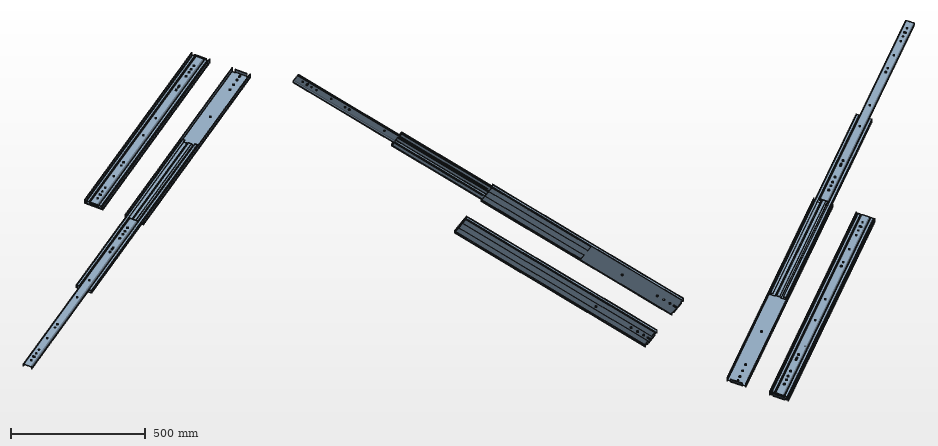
import cadquery as cq

OVERALL_WIDTH = 245.0
SLIDE_WIDTH = 76.0
SLIDE_OFFSET = (OVERALL_WIDTH - SLIDE_WIDTH) / 2
SHEET = 2.0

OUTER_LENGTH = 864.0
OUTER_HEIGHT = 19.0
TAB_WIDTH = 48.0
TAB_HEIGHT = 15.0
RELIEF_DEPTH = 3.0

REAR_GAP = 7.0
MIDDLE_LENGTH = OUTER_LENGTH - REAR_GAP
MIDDLE_WIDTH = 64.0
MIDDLE_BOTTOM = 2.6
MIDDLE_TOP = 16.4
LIP_OPENING = 41.0
RIB_TOP_WIDTH = 12.0
RIB_BASE_WIDTH = 25.0
RIB_HEIGHT = 5.0

INNER_LENGTH = OUTER_LENGTH - REAR_GAP
INNER_WIDTH = 36.0
INNER_BOTTOM = 6.0
INNER_TOP = 17.0
BEND_RADIUS = 3.0

MIDDLE_TRAVEL = 408.0
INNER_TRAVEL = 864.0

SMALL_HOLE = 5.0
LARGE_HOLE = 7.0
OUTER_HOLES = [613.0, 772.0, 801.0, 829.0]
OUTER_SLOT_PLACE = 852.0
OUTER_SLOT_LENGTH = 14.0
INNER_SMALL_HOLES = [31.0, 70.0, 93.0, 160.0, 223.0, 400.0, 501.0]
INNER_LARGE_HOLES = [242.0, 667.0, 746.0, 770.0, 788.0, 808.0]
INNER_CROSS_SLOT_PLACE = 52.0
INNER_CROSS_SLOT_LENGTH = 10.0
INNER_LONG_SLOT_PLACE = 687.0
INNER_LONG_SLOT_LENGTH = 15.0


def box(width, length, height, front, bottom):
    """Block centred on X, starting at the given front (Y) and bottom (Z)."""
    block = cq.Workplane("XY").box(width, length, height, centered=(True, False, False))
    return block.translate((0, front, bottom))


def extrude_half_outline(half_outline, length):
    """Mirror the right half of an XZ outline about X = 0 and extrude it along +Y."""
    left_half = [(-x, z) for x, z in reversed(half_outline)]
    profile = cq.Workplane("XZ").polyline(half_outline + left_half).close()
    return profile.extrude(-length)


def round_cutters(places, diameter):
    """Vertical cutters on the rail's centre line."""
    points = [(0, place) for place in places]
    return cq.Workplane("XY").pushPoints(points).circle(diameter / 2).extrude(OUTER_HEIGHT)


def slot_cutter(place, length, angle):
    """Vertical round-ended cutter; an angle of 90 runs it along Y."""
    slot = cq.Workplane("XY").center(0, place).slot2D(length, SMALL_HOLE, angle)
    return slot.extrude(OUTER_HEIGHT)


def make_outer_rail():
    half_width = SLIDE_WIDTH / 2
    half_outline = [
        (half_width, 0),
        (half_width, OUTER_HEIGHT),
        (half_width - SHEET, OUTER_HEIGHT),
        (half_width - SHEET, SHEET),
    ]
    rail = extrude_half_outline(half_outline, OUTER_LENGTH)

    web_end = OUTER_LENGTH - RELIEF_DEPTH
    relief = box(SLIDE_WIDTH - 2 * SHEET, RELIEF_DEPTH, SHEET, web_end, 0)
    relief = relief.cut(box(TAB_WIDTH, RELIEF_DEPTH, SHEET, web_end, 0))
    tab = box(TAB_WIDTH, SHEET, TAB_HEIGHT, OUTER_LENGTH - SHEET, 0)
    rail = rail.cut(relief).union(tab)

    rail = rail.cut(round_cutters(OUTER_HOLES, LARGE_HOLE))
    return rail.cut(slot_cutter(OUTER_SLOT_PLACE, OUTER_SLOT_LENGTH, 90))


def make_middle_rail():
    half_width = MIDDLE_WIDTH / 2
    web_top = MIDDLE_BOTTOM + SHEET
    half_outline = [
        (RIB_TOP_WIDTH / 2, MIDDLE_BOTTOM + RIB_HEIGHT),
        (RIB_BASE_WIDTH / 2, MIDDLE_BOTTOM),
        (half_width, MIDDLE_BOTTOM),
        (half_width, MIDDLE_TOP),
        (LIP_OPENING / 2, MIDDLE_TOP),
        (LIP_OPENING / 2, MIDDLE_TOP - SHEET),
        (half_width - SHEET, MIDDLE_TOP - SHEET),
        (half_width - SHEET, web_top),
        (RIB_BASE_WIDTH / 2, web_top),
        (RIB_TOP_WIDTH / 2, web_top + RIB_HEIGHT),
    ]
    return extrude_half_outline(half_outline, MIDDLE_LENGTH)


def make_inner_rail():
    rail = box(INNER_WIDTH, INNER_LENGTH, INNER_TOP - INNER_BOTTOM, 0, INNER_BOTTOM)
    rail = rail.edges("|Y and >Z").fillet(BEND_RADIUS)
    hollow_height = INNER_TOP - INNER_BOTTOM - SHEET
    hollow = box(INNER_WIDTH - 2 * SHEET, INNER_LENGTH, hollow_height, 0, INNER_BOTTOM)
    rail = rail.cut(hollow.edges("|Y and >Z").fillet(BEND_RADIUS - SHEET))

    rail = rail.cut(round_cutters(INNER_SMALL_HOLES, SMALL_HOLE))
    rail = rail.cut(round_cutters(INNER_LARGE_HOLES, LARGE_HOLE))
    rail = rail.cut(slot_cutter(INNER_CROSS_SLOT_PLACE, INNER_CROSS_SLOT_LENGTH, 0))
    return rail.cut(slot_cutter(INNER_LONG_SLOT_PLACE, INNER_LONG_SLOT_LENGTH, 90))


CLOSED_SLIDE = (-SLIDE_OFFSET, 0, 0)
EXTENDED_SLIDE = (SLIDE_OFFSET, MIDDLE_TRAVEL, INNER_TRAVEL)

bodies = []
for centre, middle_travel, inner_travel in (CLOSED_SLIDE, EXTENDED_SLIDE):
    outer_rail = make_outer_rail().translate((centre, 0, 0))
    middle_rail = make_middle_rail().translate((centre, -middle_travel, 0))
    inner_rail = make_inner_rail().translate((centre, -inner_travel, 0))
    bodies += [outer_rail.val(), middle_rail.val(), inner_rail.val()]

result = cq.Compound.makeCompound(bodies)